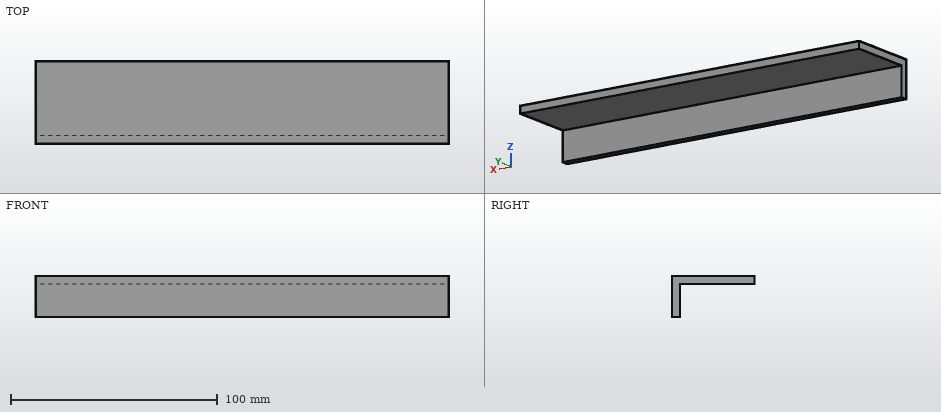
import cadquery as cq

length = 200.0
flange_width = 40.0
web_height = 20.0
thickness = 4.0

flange = cq.Workplane("XY").box(length, flange_width, thickness, centered=False)
flange = flange.translate((0, 0, web_height - thickness))

web = cq.Workplane("XY").box(length, thickness, web_height, centered=False)

result = flange.union(web)